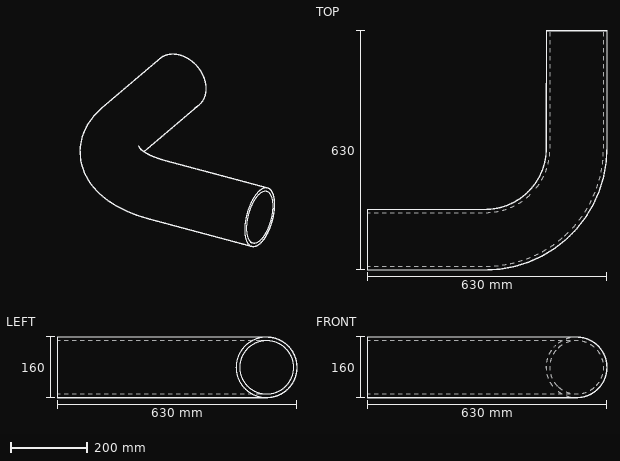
import cadquery as cq

overall_length = 630.0
outer_diameter = 160.0
inner_diameter = 141.0

bend_radius = 1.5 * outer_diameter
leg_length = overall_length - bend_radius - outer_diameter / 2


def pipe_section(plane):
    """Ring-shaped cross-section of the pipe on the given plane."""
    return cq.Workplane(plane).circle(outer_diameter / 2).circle(inner_diameter / 2)


x_leg = pipe_section("YZ").extrude(leg_length)

bend = (
    pipe_section("YZ")
    .revolve(90, (bend_radius, 0, 0), (bend_radius, 1, 0))
    .translate((leg_length, 0, 0))
)

y_leg = (
    pipe_section("XZ")
    .extrude(-leg_length)
    .translate((leg_length + bend_radius, bend_radius, 0))
)

result = x_leg.union(bend).union(y_leg)